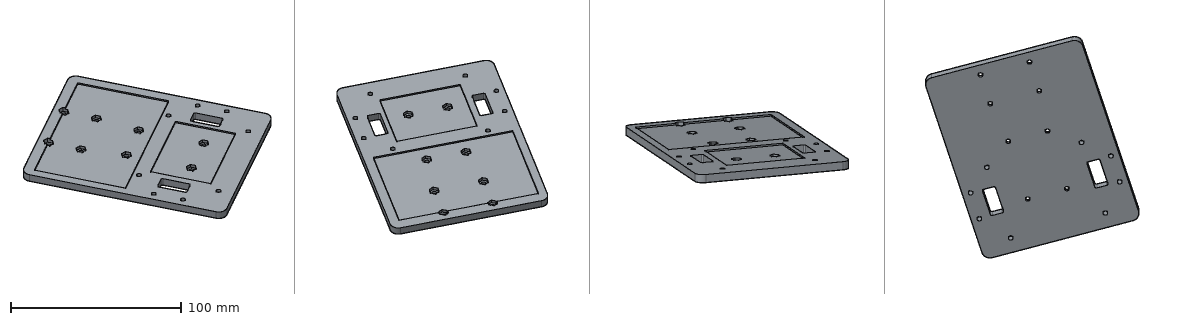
import cadquery as cq

LENGTH = 125
WIDTH = 96.0
THICKNESS = 5
CORNER_RADIUS = 5

POCKET_DEPTH = 1.0
LARGE_POCKET_LENGTH = 56.0
LARGE_POCKET_WIDTH = 85
LARGE_POCKET_LEFT = -LARGE_POCKET_LENGTH
LARGE_POCKET_CENTRE_Y = -0.5
SMALL_POCKET_LENGTH = 37.0
SMALL_POCKET_WIDTH = 49.0
SMALL_POCKET_LEFT = 9.5
SMALL_POCKET_CENTRE_Y = 0.5

SLOT_LENGTH = 18.0
SLOT_WIDTH = 8.0
SLOT_CORNER_RADIUS = 1.0
SLOT_CENTRE_X = 26.5
SLOT_OFFSET_Y = 32.0

HOLE_DIAMETER = 2.8
SLOT_HOLE_OFFSET_Y = 43.0
SLOT_HOLE_SPACING = SLOT_LENGTH
OUTER_HOLE_CENTRE_X = 28.5
OUTER_HOLE_SPACING = 49.0
OUTER_HOLE_OFFSET_Y = 29.0

NUT_ACROSS_CORNERS = 6.0
NUT_RECESS_DEPTH = 3.0
NARROW_NUT_OFFSET_Y = 12.0
NARROW_NUT_CENTRE_X = 11.0
NARROW_NUT_SPACING = 40
WIDE_NUT_OFFSET_Y = 15
WIDE_NUT_SPACING = 20
WIDE_NUT_CENTRE_X = LARGE_POCKET_LEFT + WIDE_NUT_SPACING / 2


def mirrored_pairs(centre_x, spacing_x, offset_y):
    """Four points: two X places, each repeated on both sides of the X axis."""
    return [
        (centre_x + side_x * spacing_x / 2, side_y * offset_y)
        for side_x in (-1, 1)
        for side_y in (-1, 1)
    ]


def pocket(left, length, width, centre_y):
    """Solid to remove for a sharp-cornered pocket open at the top face."""
    return (
        cq.Workplane("XY", origin=(left + length / 2, centre_y, THICKNESS))
        .rect(length, width)
        .extrude(-POCKET_DEPTH)
    )


def slots():
    """Solids to remove for the two through slots."""
    return (
        cq.Workplane("XY")
        .pushPoints([(SLOT_CENTRE_X, SLOT_OFFSET_Y), (SLOT_CENTRE_X, -SLOT_OFFSET_Y)])
        .rect(SLOT_LENGTH, SLOT_WIDTH)
        .extrude(THICKNESS)
        .edges("|Z")
        .fillet(SLOT_CORNER_RADIUS)
    )


def nut_recesses(points):
    """Hexagonal solids to remove, measured down from the top face."""
    return (
        cq.Workplane("XY", origin=(0, 0, THICKNESS))
        .pushPoints(points)
        .polygon(6, NUT_ACROSS_CORNERS)
        .extrude(-NUT_RECESS_DEPTH)
    )


def through_holes(points):
    """Cylinders to remove for the screw holes."""
    return cq.Workplane("XY").pushPoints(points).circle(HOLE_DIAMETER / 2).extrude(THICKNESS)


nut_points = (
    mirrored_pairs(NARROW_NUT_CENTRE_X, NARROW_NUT_SPACING, NARROW_NUT_OFFSET_Y)
    + mirrored_pairs(WIDE_NUT_CENTRE_X, WIDE_NUT_SPACING, WIDE_NUT_OFFSET_Y)
)
plain_hole_points = (
    mirrored_pairs(SLOT_CENTRE_X, SLOT_HOLE_SPACING, SLOT_HOLE_OFFSET_Y)
    + mirrored_pairs(OUTER_HOLE_CENTRE_X, OUTER_HOLE_SPACING, OUTER_HOLE_OFFSET_Y)
)

plate = (
    cq.Workplane("XY")
    .box(LENGTH, WIDTH, THICKNESS, centered=(True, True, False))
    .edges("|Z")
    .fillet(CORNER_RADIUS)
)

result = (
    plate
    .cut(pocket(LARGE_POCKET_LEFT, LARGE_POCKET_LENGTH, LARGE_POCKET_WIDTH, LARGE_POCKET_CENTRE_Y))
    .cut(pocket(SMALL_POCKET_LEFT, SMALL_POCKET_LENGTH, SMALL_POCKET_WIDTH, SMALL_POCKET_CENTRE_Y))
    .cut(slots())
    .cut(nut_recesses(nut_points))
    .cut(through_holes(nut_points + plain_hole_points))
)